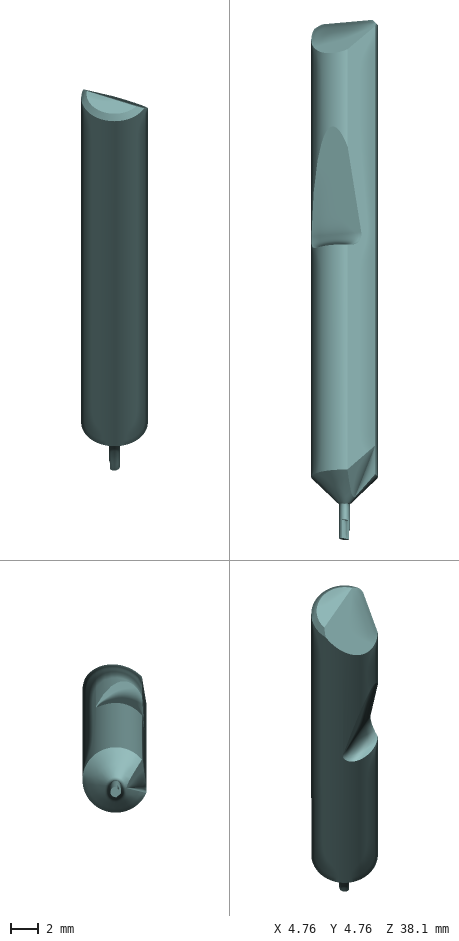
import cadquery as cq
import math

length = 38.1
radius = 2.38
neck_radius = 0.4
cone_base_z = 4.57
neck_top_z = cone_base_z - (radius - neck_radius)
top_chamfer = 0.4
oversize = 3 * radius

flat_distance = 2.05
flat_azimuth = 147.0

bevel_start_y = -0.55

notch_top_z = 29.8
notch_bottom_z = 21.1
notch_floor_y = 0.95
notch_fillet = 0.9

rake_y = 0.08
relief_at_axis = -1.505
relief_per_y = 0.21
relief_per_z = -0.43
relief_low_z = cone_base_z - 1.7
relief_high_z = cone_base_z + 3.05

tip_relief_z = 1.37
tip_relief_start_x = -0.15
neck_relief_shift = 0.05
facet_height = 0.7
facet_x = -0.2
tip_end_rise = 0.08


def extrude_along_x(profile):
    """Extrude a closed (y, z) profile symmetrically along X."""
    return profile.extrude(oversize, both=True)


def turned_bar():
    outline = [
        (0, 0),
        (neck_radius, 0),
        (neck_radius, neck_top_z),
        (radius, cone_base_z),
        (radius, length - top_chamfer),
        (radius - top_chamfer, length),
        (0, length),
    ]
    return cq.Workplane("XZ").polyline(outline).close().revolve(360, (0, 0), (0, 1))


def flank_flat():
    block = cq.Workplane("XY").box(oversize, oversize, length, centered=(False, True, False))
    return block.translate((flat_distance, 0, 0)).rotate((0, 0, 0), (0, 0, 1), flat_azimuth)


def top_bevel():
    drop = oversize - bevel_start_y
    corners = [(bevel_start_y, length), (oversize, length), (oversize, length - drop)]
    return extrude_along_x(cq.Workplane("YZ").polyline(corners).close())


def clamping_notch():
    corners = [
        (radius, notch_top_z),
        (oversize, notch_top_z),
        (oversize, notch_bottom_z),
        (notch_floor_y, notch_bottom_z),
    ]
    notch = extrude_along_x(cq.Workplane("YZ").polyline(corners).close())
    return notch.edges("|X").edges("<Y").fillet(notch_fillet)


def cone_relief():
    def section(y):
        def plane_x(z):
            return relief_at_axis + relief_per_y * y + relief_per_z * (z - cone_base_z)

        return [
            (-oversize, relief_low_z),
            (plane_x(relief_low_z), relief_low_z),
            (plane_x(relief_high_z), relief_high_z),
            (-oversize, relief_high_z),
        ]

    near = cq.Workplane("XZ", origin=(0, rake_y, 0)).polyline(section(rake_y)).close()
    far = near.workplane(offset=rake_y - oversize).polyline(section(oversize)).close()
    return far.loft(ruled=True)


def tip_relief():
    """Pocket behind the cutting edge, with its upright face parallel to the flank flat."""
    depth = 2 * neck_radius
    face_slope = -math.tan(math.radians(flat_azimuth))
    corners = [
        (-depth, rake_y),
        (tip_relief_start_x, rake_y),
        (tip_relief_start_x + face_slope * depth, rake_y + depth),
        (-depth, rake_y + depth),
    ]
    return cq.Workplane("XY").polyline(corners).close().extrude(tip_relief_z)


def neck_relief():
    """Shallow eccentric back-off of the (-X, +Y) quarter of the neck."""
    reach = 2 * neck_radius
    quarter = cq.Workplane("XY").box(reach, reach, neck_top_z, centered=False)
    core = cq.Workplane("XY").center(neck_relief_shift, 0).circle(neck_radius).extrude(neck_top_z)
    return quarter.translate((-reach, rake_y, 0)).cut(core)


def tip_facets():
    """Two clearance flats from the cutting edge round to the front of the neck."""
    edge_x = -math.sqrt(neck_radius**2 - rake_y**2)
    facet_y = -math.sqrt(neck_radius**2 - facet_x**2)
    corners = [
        (edge_x, rake_y),
        (facet_x, facet_y),
        (0, -neck_radius),
        (0, -2 * neck_radius),
        (-2 * neck_radius, -2 * neck_radius),
        (-2 * neck_radius, rake_y),
    ]
    return cq.Workplane("XY").polyline(corners).close().extrude(facet_height)


def end_clearance():
    corners = [(-neck_radius, 0), (neck_radius, 0), (neck_radius, tip_end_rise)]
    profile = cq.Workplane("XZ").polyline(corners).close()
    return profile.extrude(2 * neck_radius, both=True)


result = turned_bar()
cutters = (
    flank_flat,
    top_bevel,
    clamping_notch,
    cone_relief,
    tip_relief,
    neck_relief,
    tip_facets,
    end_clearance,
)
for cutter in cutters:
    result = result.cut(cutter())